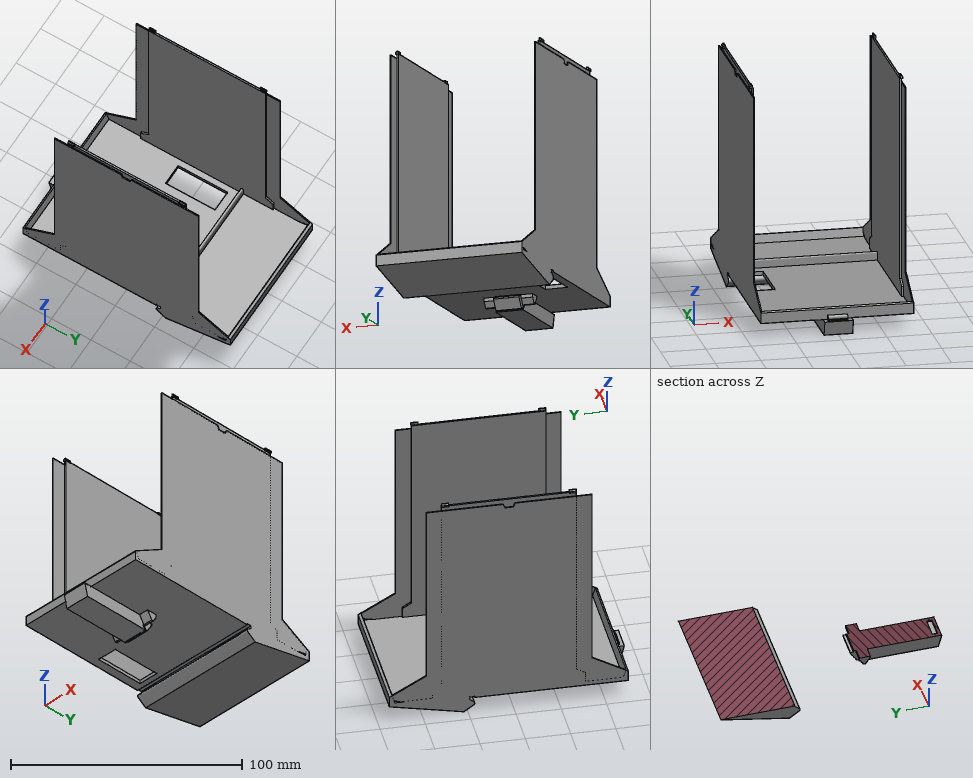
import cadquery as cq


width = 67.5
rear_y = 109.3
front_y = 3.8
base_bottom = 6.8
floor_top = 8.5
corner_top = 11.6
foot_tip_y = 76.4

front_rim_run = 0.9
rear_rim_run = 1.2
rim_inner_run = 1.3

hook_y = 71.6
hook_low = 3.1
hook_high = 4.7
hook_nose_run = 0.4
groove_rear_y = 73.8
groove_low = 6.0
groove_top = 7.3

rib_y = 74.3
rib_thickness = 1.4
rib_top = 12.2

window_x = -24.3
window_y = 56.2
window_width = 10.3
window_length = 25.1

wall_thickness = 0.5
wall_middle_y = 56.4
wall_length = 73.2
wall_top = 104.5
shoulder = 20.5
seam_low_y = 78.4
seam_high_y = 74.2
foot_cover = 3.1

notch_top_width = 5.2
notch_bottom_width = 3.7
notch_depth = 1.9

panel_thickness = 0.9
panel_length = 59.5
panel_top = 106.6
panel_foot_length = 67.3
panel_foot_top = 13.1
panel_taper_height = 2.3

tab_length = 3.1
tab_thickness = 1.0
tab_bottom = 106.5
tab_top = 107.8
tab_chamfer = 0.5

nose_width = 8.6
nose_front_y = 2.3
nose_top = 8.6

latch_width = 12.7
latch_bottom = 0.3
handle_slant = 1.6
latch_end_top_y = 33.2
latch_end_bottom_y = 37.2
jaw_width = 11.8
jaw_tip_y = 41.1
jaw_tip_low = 5.2
jaw_tip_high = 5.9
jaw_bottom = 0.8
jaw_bottom_rear_y = 38.1
jaw_lip_y = 39.8
jaw_lip_top_y = 39.3
wing_width = 22.5
wing_bottom = 2.6
wing_bottom_length = 1.0
wing_rear_y = 38.5
pocket_front_y = 1.6
pocket_depth = 0.9


def profile(points, x_length, x_middle=0.0):
    """Solid of a Y-Z outline, centred on x_middle along X."""
    start = x_middle - x_length / 2
    return cq.Workplane("YZ").workplane(offset=start).polyline(points).close().extrude(x_length)


def box(x_range, y_range, z_range):
    """Box between two limits on each axis."""
    size = [high - low for low, high in (x_range, y_range, z_range)]
    corner = (x_range[0], y_range[0], z_range[0])
    return cq.Workplane("XY").box(*size, centered=False).translate(corner)


wall_front_y = wall_middle_y - wall_length / 2
wall_rear_y = wall_middle_y + wall_length / 2
front_rim_y = front_y + front_rim_run
rear_rim_y = rear_y - rear_rim_run
front_slope = (shoulder - corner_top) / (wall_front_y - front_y)
rear_slope = (shoulder - corner_top) / (rear_y - wall_rear_y)
front_rim_top = corner_top + front_rim_run * front_slope
rear_rim_top = corner_top + rear_rim_run * rear_slope
foot_slope = base_bottom / (rear_y - foot_tip_y)


def make_base():
    """Floor with rims, rear foot and rail hook, all one outline along X."""
    outline = (
        cq.Workplane("YZ")
        .workplane(offset=-width / 2)
        .moveTo(front_y, base_bottom)
        .lineTo(front_y, corner_top)
        .lineTo(front_rim_y, front_rim_top)
        .lineTo(front_rim_y + rim_inner_run, floor_top)
        .lineTo(rear_rim_y - rim_inner_run, floor_top)
        .lineTo(rear_rim_y, rear_rim_top)
        .lineTo(rear_y, corner_top)
        .lineTo(rear_y, base_bottom)
        .lineTo(foot_tip_y, 0)
        .lineTo(hook_y + hook_nose_run, hook_low)
        .threePointArc((hook_y, (hook_low + hook_high) / 2), (hook_y + hook_nose_run, hook_high))
        .lineTo(groove_rear_y, groove_low)
        .lineTo(groove_rear_y, groove_top)
        .lineTo(hook_y, groove_top)
        .lineTo(hook_y, base_bottom)
        .close()
    )
    return outline.extrude(width)


def make_rib():
    """Rib across the floor with a rounded top."""
    half = rib_thickness / 2
    return (
        cq.Workplane("YZ")
        .workplane(offset=-width / 2)
        .moveTo(rib_y - half, floor_top)
        .lineTo(rib_y - half, rib_top - half)
        .threePointArc((rib_y, rib_top), (rib_y + half, rib_top - half))
        .lineTo(rib_y + half, floor_top)
        .close()
        .extrude(width)
    )


def make_nose():
    """Nose on the front face, rounded along its front."""
    radius = (nose_top - base_bottom) / 2
    return (
        cq.Workplane("YZ")
        .workplane(offset=-nose_width / 2)
        .moveTo(front_y, base_bottom)
        .lineTo(nose_front_y + radius, base_bottom)
        .threePointArc((nose_front_y, base_bottom + radius), (nose_front_y + radius, nose_top))
        .lineTo(front_y, nose_top)
        .close()
        .extrude(nose_width)
    )


def make_wall():
    """Wall at -X: flared plate with a notched top edge, stiffening panel and two snap tabs."""
    outer = -width / 2
    inner = outer + wall_thickness
    plate_points = [
        (front_rim_y, floor_top),
        (front_rim_y, front_rim_top),
        (wall_front_y, shoulder),
        (wall_front_y, wall_top),
        (wall_middle_y - notch_top_width / 2, wall_top),
        (wall_middle_y - notch_bottom_width / 2, wall_top - notch_depth),
        (wall_middle_y + notch_bottom_width / 2, wall_top - notch_depth),
        (wall_middle_y + notch_top_width / 2, wall_top),
        (wall_rear_y, wall_top),
        (wall_rear_y, shoulder),
        (rear_rim_y, rear_rim_top),
        (rear_rim_y, (rear_rim_y - foot_tip_y) * foot_slope + foot_cover),
        (seam_low_y, (seam_low_y - foot_tip_y) * foot_slope + foot_cover),
        (seam_high_y, floor_top),
    ]
    wall = profile(plate_points, wall_thickness, outer + wall_thickness / 2)

    taper_top = panel_foot_top + panel_taper_height
    panel_half = panel_length / 2
    foot_half = panel_foot_length / 2
    panel_points = [
        (wall_middle_y - foot_half, floor_top),
        (wall_middle_y - foot_half, panel_foot_top),
        (wall_middle_y - panel_half, taper_top),
        (wall_middle_y - panel_half, panel_top),
        (wall_middle_y + panel_half, panel_top),
        (wall_middle_y + panel_half, taper_top),
        (wall_middle_y + foot_half, panel_foot_top),
        (wall_middle_y + foot_half, floor_top),
    ]
    wall = wall.union(profile(panel_points, panel_thickness, inner + panel_thickness / 2))

    for side in (-1, 1):
        tab_y = wall_middle_y + side * (panel_half - tab_length / 2)
        tab = box(
            (outer, outer + tab_thickness),
            (tab_y - tab_length / 2, tab_y + tab_length / 2),
            (tab_bottom, tab_top),
        )
        wall = wall.union(tab.edges("<X and >Z").chamfer(tab_chamfer))
    return wall


def make_housing():
    """Base, rib, nose and both walls, with the window cut through the floor."""
    window = box(
        (window_x - window_width / 2, window_x + window_width / 2),
        (window_y - window_length / 2, window_y + window_length / 2),
        (base_bottom, floor_top),
    )
    wall = make_wall()
    housing = make_base().cut(window).union(make_rib()).union(make_nose())
    for side_wall in (wall, wall.mirror("YZ")):
        housing = housing.cut(side_wall, clean=False).union(side_wall, clean=False)
    return housing


def latch_end_y(height):
    """Y of the slanted inner end of the latch bar at a given height."""
    end_slope = (latch_end_bottom_y - latch_end_top_y) / (base_bottom - latch_bottom)
    return latch_end_top_y + (base_bottom - height) * end_slope


def make_latch():
    """Sliding latch under the floor: handle bar, jaw at its inner end and a wing on each side."""
    bar = profile(
        [
            (0, base_bottom),
            (handle_slant, latch_bottom),
            (latch_end_bottom_y, latch_bottom),
            (latch_end_top_y, base_bottom),
        ],
        latch_width,
    )
    jaw = profile(
        [
            (latch_end_top_y, base_bottom),
            (latch_end_y(jaw_bottom), jaw_bottom),
            (jaw_bottom_rear_y, jaw_bottom),
            (jaw_tip_y, jaw_tip_low),
            (jaw_tip_y, jaw_tip_high),
            (jaw_lip_y, jaw_tip_high),
            (jaw_lip_top_y, base_bottom),
        ],
        jaw_width,
    )
    wing_front_bottom_y = latch_end_y(wing_bottom)
    wings = profile(
        [
            (latch_end_top_y, base_bottom),
            (wing_front_bottom_y, wing_bottom),
            (wing_front_bottom_y + wing_bottom_length, wing_bottom),
            (wing_rear_y, jaw_tip_low),
            (wing_rear_y, base_bottom),
        ],
        wing_width,
    )
    pocket = box(
        (-nose_width / 2, nose_width / 2),
        (pocket_front_y, front_y),
        (base_bottom - pocket_depth, base_bottom),
    )
    return bar.union(jaw).union(wings).cut(pocket)


housing = make_housing()
latch = make_latch()
result = cq.Compound.makeCompound([housing.solids().val(), latch.val()])